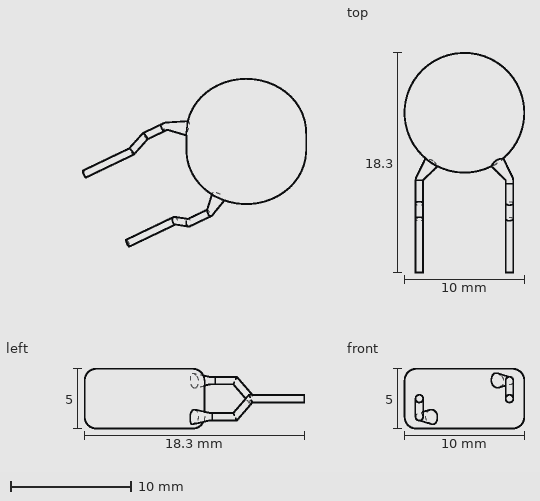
import cadquery as cq
import math

housing_diameter = 10.0
housing_height = housing_diameter / 2
housing_fillet = 0.99

overall_length = 18.3
wire_diameter = 0.64
wire_radius = wire_diameter / 2
lead_offset = 3.75
lead_height = 1.5
bend_start_y = -5.62
crimp_start_y = -7.54
crimp_end_y = -8.84
tip_y = housing_diameter / 2 - overall_length

sleeve_angle = 36
bend_radius = wire_radius + 0.02
cone_half_angle = 10
cone_length = 2.75
upper_sleeve_tail = 0.27
lower_sleeve_tail = 0


def make_housing():
    return (
        cq.Workplane("XY")
        .cylinder(housing_height, housing_diameter / 2)
        .edges()
        .fillet(housing_fillet)
    )


def make_sleeve(housing, tail):
    """Cone, bend and straight tail of the sleeve on the +X, +Z side."""
    pivot_x = lead_offset - bend_radius
    pivot = cq.Vector(pivot_x, bend_start_y, lead_height)
    lean = math.radians(sleeve_angle)
    cone_start = pivot + cq.Vector(math.cos(lean), math.sin(lean), 0) * bend_radius
    cone_direction = cq.Vector(-math.sin(lean), math.cos(lean), 0)
    cone_end_radius = wire_radius + cone_length * math.tan(math.radians(cone_half_angle))
    cone = cq.Solid.makeCone(wire_radius, cone_end_radius, cone_length, cone_start, cone_direction)

    bend = (
        cq.Workplane("XZ", origin=(lead_offset, bend_start_y, lead_height))
        .circle(wire_radius)
        .revolve(sleeve_angle, (-bend_radius, 0, 0), (-bend_radius, 1, 0))
    )
    sleeve = bend.union(cq.Workplane(cone).cut(housing))
    if tail > 0:
        straight = (
            cq.Workplane("XZ", origin=(lead_offset, bend_start_y, lead_height))
            .circle(wire_radius)
            .extrude(tail)
        )
        sleeve = sleeve.union(straight)
    return sleeve


def make_lead(tail):
    """Wire on the +X, +Z side, sloping down to the mid-plane with mitred bends."""
    start_y = bend_start_y - tail
    path = cq.Workplane("YZ", origin=(lead_offset, 0, 0)).polyline([
        (start_y, lead_height),
        (crimp_start_y, lead_height),
        (crimp_end_y, 0),
        (tip_y, 0),
    ])
    return (
        cq.Workplane("XZ", origin=(lead_offset, start_y, lead_height))
        .circle(wire_radius)
        .sweep(path, transition="right")
    )


housing = make_housing()
bodies = [housing.solids().val()]

for tail, turn in [(upper_sleeve_tail, 0), (lower_sleeve_tail, 180)]:
    sleeve = make_sleeve(housing, tail).rotate((0, 0, 0), (0, 1, 0), turn)
    lead = make_lead(tail).rotate((0, 0, 0), (0, 1, 0), turn)
    bodies += [sleeve.solids().val(), lead.solids().val()]

result = cq.Compound.makeCompound(bodies)